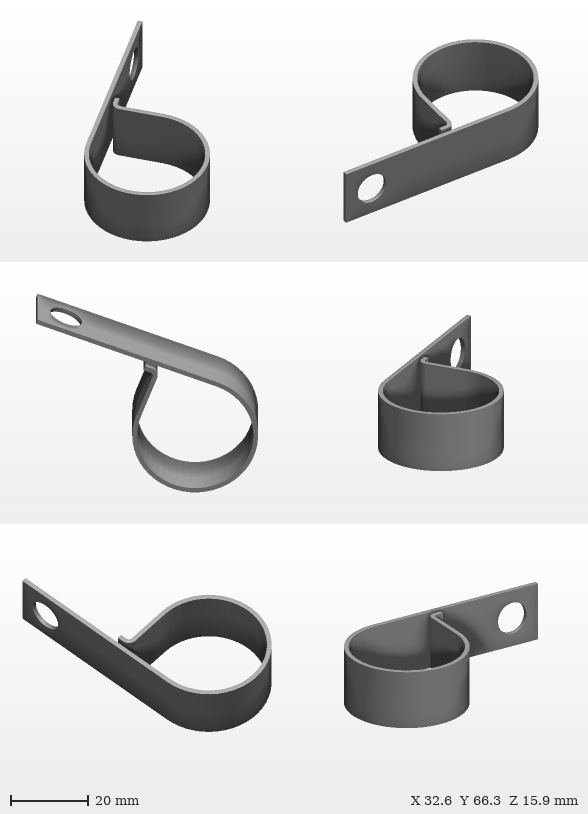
import math

import cadquery as cq

strip_width = 15.88
thickness = 1.22

inner_radius = 15.08
outer_radius = inner_radius + thickness

leg_end_y = 49.98
hole_diameter = 8.73
hole_to_leg_end = 7.94

lip_gap = 1.2
lip_height = 2.85
bend_inner_radius = 1.0
bend_outer_radius = bend_inner_radius + thickness

lip_outer_x = -inner_radius + lip_gap
lip_inner_x = lip_outer_x + thickness
lip_end_y = outer_radius + lip_height
bend_x = lip_outer_x + bend_outer_radius
bend_y = outer_radius + bend_inner_radius


def bend_midpoint(radius):
    """Point halfway round the quarter-turn lip bend at the given radius."""
    reach = radius * math.sqrt(0.5)
    return bend_x - reach, bend_y - reach


def loop_midpoint(radius):
    """Point halfway round the three-quarter loop at the given radius."""
    reach = radius * math.sqrt(0.5)
    return reach, -reach


def make_strip():
    """Bent strip: its edge outline in XY, extruded across the strip width."""
    return (
        cq.Workplane("XY")
        .moveTo(-outer_radius, leg_end_y)
        .lineTo(-outer_radius, 0)
        .threePointArc(loop_midpoint(outer_radius), (0, outer_radius))
        .lineTo(bend_x, outer_radius)
        .threePointArc(bend_midpoint(bend_inner_radius), (lip_inner_x, bend_y))
        .lineTo(lip_inner_x, lip_end_y)
        .lineTo(lip_outer_x, lip_end_y)
        .lineTo(lip_outer_x, bend_y)
        .threePointArc(bend_midpoint(bend_outer_radius), (bend_x, inner_radius))
        .lineTo(0, inner_radius)
        .threePointArc(loop_midpoint(inner_radius), (-inner_radius, 0))
        .lineTo(-inner_radius, leg_end_y)
        .close()
        .extrude(strip_width / 2, both=True)
    )


def make_mounting_hole():
    """Cylinder along X that pierces the leg, centred across its width."""
    return (
        cq.Workplane("YZ", origin=(-outer_radius, leg_end_y - hole_to_leg_end, 0))
        .circle(hole_diameter / 2)
        .extrude(thickness)
    )


result = make_strip().cut(make_mounting_hole())